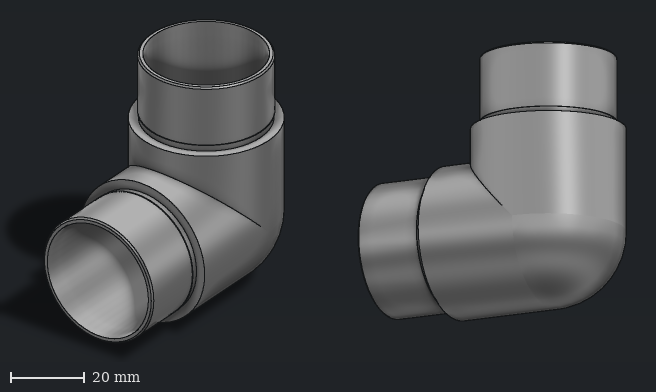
import cadquery as cq

body_diameter = 42.4
overall_length = 70.0
body_radius = body_diameter / 2
leg_length = overall_length - body_radius

spigot_diameter = 37.3
spigot_length = 20.0
end_chamfer = 0.5
groove_diameter = 36.9
groove_width = 1.9
bore_diameter = 34.4

shoulder_distance = leg_length - spigot_length

up_leg = cq.Plane(origin=(0, 0, 0), xDir=(1, 0, 0), normal=(0, 0, 1))
side_leg = cq.Plane(origin=(0, 0, 0), xDir=(1, 0, 0), normal=(0, -1, 0))
leg_planes = (up_leg, side_leg)


def cylinder(plane, diameter, start, length):
    """Cylinder along a leg, beginning at a distance from the corner centre."""
    return cq.Workplane(plane).workplane(offset=start).circle(diameter / 2).extrude(length)


def elbow(diameter, length):
    """Two equal cylinders meeting at a right angle, with a spherical outer corner."""
    corner = cq.Workplane("XY").sphere(diameter / 2)
    for plane in leg_planes:
        corner = corner.union(cylinder(plane, diameter, 0, length))
    return corner


def spigot(plane):
    """Relief groove next to the shoulder, then the chamfered tube end."""
    groove = cylinder(plane, groove_diameter, shoulder_distance, groove_width)
    tube_start = shoulder_distance + groove_width
    tube = cylinder(plane, spigot_diameter, tube_start, spigot_length - groove_width)
    end_face = cq.selectors.DirectionMinMaxSelector(plane.zDir, True)
    tube = tube.faces(end_face).edges().chamfer(end_chamfer)
    return groove.union(tube)


result = elbow(body_diameter, shoulder_distance)
for leg_plane in leg_planes:
    result = result.union(spigot(leg_plane))
result = result.cut(elbow(bore_diameter, leg_length))